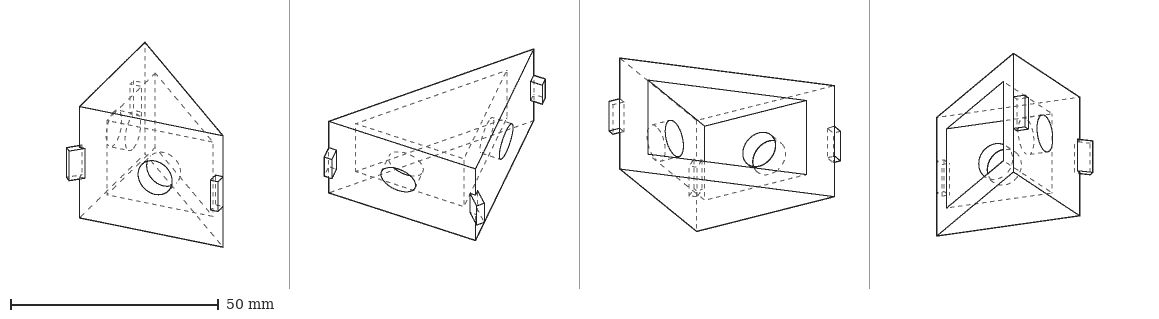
import cadquery as cq

leg_length = 38.0
block_height = 30.0
mid_height = block_height / 2

wall_thickness = 5.0

hole_diameter = 9.0
hole_offset = 20.0

tab_reach = 3.0
tab_width = 2.0
tab_height = 8.0


def make_block():
    """Right-angled triangular prism with its corner on the Z axis."""
    outline = [(0, 0), (leg_length, 0), (0, leg_length)]
    return cq.Workplane("XY").polyline(outline).close().extrude(block_height)


def make_pocket():
    """Square cutter whose inner corner stands one wall thickness in from both leg faces."""
    return (
        cq.Workplane("XY")
        .box(leg_length, leg_length, block_height - 2 * wall_thickness, centered=False)
        .translate((wall_thickness, wall_thickness, wall_thickness))
    )


def make_bolt_hole():
    """Cutter along +Y through the leg face on the XZ plane."""
    return (
        cq.Workplane("XZ")
        .center(hole_offset, mid_height)
        .circle(hole_diameter / 2)
        .extrude(-leg_length)
    )


def make_end_tab():
    """Tab standing out in -Y, flush with the far end of the X leg."""
    return (
        cq.Workplane("XY")
        .box(tab_width, tab_reach, tab_height)
        .translate((leg_length - tab_width / 2, -tab_reach / 2, mid_height))
    )


def make_corner_tab():
    """Diagonal tab on the right-angle corner, rooted inside the block."""
    root_depth = tab_width / 2
    return (
        cq.Workplane("XY")
        .box(tab_reach + root_depth, tab_width, tab_height)
        .translate(((root_depth - tab_reach) / 2, 0, mid_height))
        .rotate((0, 0, 0), (0, 0, 1), 45)
    )


def swap_legs(feature):
    """Mirror a feature of the X leg across the plane X = Y onto the Y leg."""
    return feature.mirror("YZ").rotate((0, 0, 0), (0, 0, 1), -90)


result = make_block().cut(make_pocket()).union(make_corner_tab())

end_tab = make_end_tab()
bolt_hole = make_bolt_hole()
for tab in (end_tab, swap_legs(end_tab)):
    result = result.union(tab)
for hole in (bolt_hole, swap_legs(bolt_hole)):
    result = result.cut(hole)